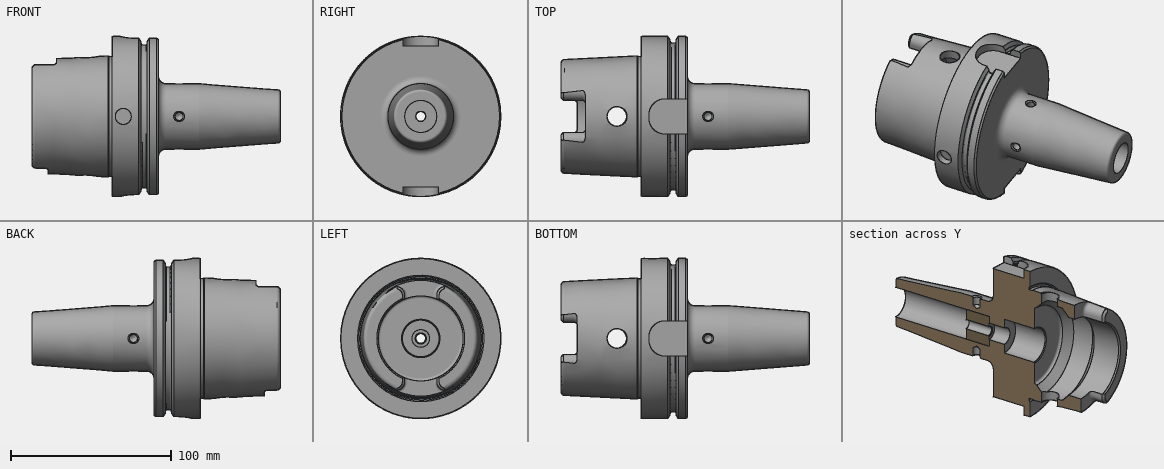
import cadquery as cq
import math


shank_length = 49.9
taper_slope = 0.05
taper_end_x = -2.4
taper_end_radius = 37.8
shank_rim_fillet = 2.4
neck_radius = 37.4
neck_chamfer = 0.6
face_recess_radius = 39.4
face_recess_depth = 0.8

flange_radius = 50.0
flange_length = 29.0
flange_back_chamfer = (0.9, 0.25)
flange_front_chamfer = (1.2, 0.9)
groove_start_x = 16.6
groove_end_x = 23.2
groove_wall_start_x = 18.2
groove_wall_end_x = 21.7
groove_wall_radius = 47.7
groove_floor_radius = 45.9
groove_rear_fillet = 0.9
groove_front_fillet = 0.5

nose_tip_x = 105.0
nose_radius = 20.5
nose_tip_radius = 16.5
nose_taper_start_x = 54.4
nose_root_fillet = 4.5
nose_tip_fillet = 1.6

bore_radius = 26.5
bore_mouth_chamfer = 0.9
clamp_edge_x = -30.0
chamber_radius = 31.5
chamber_start_x = clamp_edge_x + (chamber_radius - bore_radius)
chamber_end_x = -10.3
bore_floor_fillet = 1.7
bore_floor_x = chamber_end_x + (chamber_radius - bore_radius) + bore_floor_fillet
tube_thread_radius = 11.4
tube_thread_chamfer = 0.6
tube_thread_end_x = 20.0
coolant_radius = 5.5
screw_seat_x = 32.0
tool_bore_radius = 10.0

screw_length = 18.0
screw_hole_radius = 3.0
screw_hole_chamfer = 0.5

drive_slot_half_width = 10.0
drive_slot_lug_height = 32.3
drive_slot_lug_radius = 5.2
drive_slot_depths = {1: 15.2, -1: 10.1}
drive_slot_floor_fillet = 1.9
drive_slot_mouth_chamfer = 1.5

cross_hole_x = -15.1
cross_hole_radius = 6.0
cross_hole_chamfer = 0.4
keyway_start_x = 4.9
keyway_half_width = 11.0
keyway_floor = 44.0
keyway_corner_radius = 10.0
chip_hole_x = 7.0
chip_hole_radius = 5.0
chip_hole_depth = 4.6
balance_hole_x = 41.8
balance_hole_radius = 2.5
balance_hole_chamfer = 0.9
balance_hole_depth = 6.0
drill_point_angle = math.radians(118.0)


def taper_radius(x):
    return taper_end_radius + taper_slope * (x - taper_end_x)


def revolve_x(profile):
    """Revolve a closed profile of (X, radius) about the X axis."""
    return profile.close().revolve(360, (0, 0, 0), (1, 0, 0))


def round_corner(profile, start, corner, end):
    """Draw a line to start, then a quarter arc that rounds the square corner and stops at end."""
    bend = 1 - math.sqrt(0.5)
    middle = tuple(c + bend * (s + e - 2 * c) for s, c, e in zip(start, corner, end))
    return profile.lineTo(*start).threePointArc(middle, end)


def outer_blank():
    back_x, back_r = flange_back_chamfer
    front_x, front_r = flange_front_chamfer
    nose_slope = (nose_radius - nose_tip_radius) / (nose_tip_x - nose_taper_start_x)
    profile = (
        cq.Workplane("XY")
        .moveTo(-shank_length, 0)
        .lineTo(-shank_length, taper_radius(-shank_length))
        .lineTo(taper_end_x, taper_end_radius)
        .lineTo(taper_end_x + neck_chamfer, neck_radius)
        .lineTo(face_recess_depth, neck_radius)
        .lineTo(face_recess_depth, face_recess_radius - face_recess_depth)
        .lineTo(0, face_recess_radius)
        .lineTo(0, flange_radius - back_r)
        .lineTo(back_x, flange_radius)
        .lineTo(groove_start_x, flange_radius)
        .lineTo(groove_wall_start_x, groove_wall_radius)
    )
    profile = round_corner(
        profile,
        (groove_wall_start_x, groove_floor_radius + groove_rear_fillet),
        (groove_wall_start_x, groove_floor_radius),
        (groove_wall_start_x + groove_rear_fillet, groove_floor_radius),
    )
    profile = round_corner(
        profile,
        (groove_wall_end_x - groove_front_fillet, groove_floor_radius),
        (groove_wall_end_x, groove_floor_radius),
        (groove_wall_end_x, groove_floor_radius + groove_front_fillet),
    )
    profile = (
        profile
        .lineTo(groove_wall_end_x, groove_wall_radius)
        .lineTo(groove_end_x, flange_radius)
        .lineTo(flange_length - front_x, flange_radius)
        .lineTo(flange_length, flange_radius - front_r)
    )
    profile = round_corner(
        profile,
        (flange_length, nose_radius + nose_root_fillet),
        (flange_length, nose_radius),
        (flange_length + nose_root_fillet, nose_radius),
    )
    tip_start_radius = nose_tip_radius + nose_slope * nose_tip_fillet
    profile = round_corner(
        profile.lineTo(nose_taper_start_x, nose_radius),
        (nose_tip_x - nose_tip_fillet, tip_start_radius),
        (nose_tip_x, tip_start_radius),
        (nose_tip_x, tip_start_radius - nose_tip_fillet),
    )
    return revolve_x(profile.lineTo(nose_tip_x, 0))


def interior():
    """Stepped bore: tool-changer mouth, clamping chamber, tube thread, coolant bore and tool bore."""
    profile = (
        cq.Workplane("XY")
        .moveTo(-shank_length, 0)
        .lineTo(-shank_length, bore_radius + bore_mouth_chamfer)
        .lineTo(-shank_length + bore_mouth_chamfer, bore_radius)
        .lineTo(clamp_edge_x, bore_radius)
        .lineTo(chamber_start_x, chamber_radius)
        .lineTo(chamber_end_x, chamber_radius)
    )
    profile = round_corner(
        profile,
        (bore_floor_x - bore_floor_fillet, bore_radius),
        (bore_floor_x, bore_radius),
        (bore_floor_x, bore_radius - bore_floor_fillet),
    )
    profile = (
        profile
        .lineTo(bore_floor_x, tube_thread_radius + tube_thread_chamfer)
        .lineTo(bore_floor_x + tube_thread_chamfer, tube_thread_radius)
        .lineTo(tube_thread_end_x, tube_thread_radius)
        .lineTo(tube_thread_end_x, coolant_radius)
        .lineTo(screw_seat_x, coolant_radius)
        .lineTo(screw_seat_x, tool_bore_radius)
        .lineTo(nose_tip_x, tool_bore_radius)
        .lineTo(nose_tip_x, 0)
    )
    return revolve_x(profile)


def drive_slot_outline(growth):
    """Slot section whose straight walls roll outward over the lugs, enlarged all round by growth."""
    half = drive_slot_half_width + growth
    radius = drive_slot_lug_radius - growth
    top = drive_slot_lug_height - growth
    bend = radius * (1 - math.sqrt(0.5))
    return (
        cq.Workplane("YZ", origin=(-shank_length, 0, 0))
        .moveTo(-half, 0)
        .lineTo(-half, top - radius)
        .threePointArc((-half - bend, top - bend), (-half - radius, top))
        .lineTo(-flange_radius, top)
        .lineTo(-flange_radius, flange_radius)
        .lineTo(flange_radius, flange_radius)
        .lineTo(flange_radius, top)
        .lineTo(half + radius, top)
        .threePointArc((half + bend, top - bend), (half, top - radius))
        .lineTo(half, 0)
        .close()
    )


def drive_slot(side):
    """Cutter for one drive slot, with filleted floor corners and a chamfered mouth."""
    depth = drive_slot_depths[side]
    slot = drive_slot_outline(0).extrude(depth)
    floor_x = depth - shank_length
    reach = drive_slot_half_width + drive_slot_lug_radius
    wall_end = cq.selectors.BoxSelector(
        (floor_x - 0.1, -reach - 1, 1),
        (floor_x + 0.1, reach + 1, drive_slot_lug_height + 0.1),
    )
    slot = slot.edges(wall_end).fillet(drive_slot_floor_fillet)
    mouth = drive_slot_outline(drive_slot_mouth_chamfer).extrude(drive_slot_mouth_chamfer, taper=45)
    cutter = slot.union(mouth)
    return cutter if side > 0 else cutter.mirror("XY")


def keyway(side):
    length = flange_length - keyway_start_x
    cutter = (
        cq.Workplane("XY", origin=(keyway_start_x + length / 2, 0, keyway_floor))
        .rect(length, 2 * keyway_half_width)
        .extrude(flange_radius)
        .edges("|Z and <X")
        .fillet(keyway_corner_radius)
    )
    return cutter if side > 0 else cutter.mirror("XY")


def cross_hole():
    """Hole through both walls of the shank, with a small countersink at each mouth."""
    mouth = taper_radius(cross_hole_x)
    mouth_radius = cross_hole_radius + cross_hole_chamfer
    half_profile = (
        cq.Workplane("XZ")
        .lineTo(cross_hole_radius, 0)
        .lineTo(cross_hole_radius, mouth - cross_hole_chamfer)
        .lineTo(mouth_radius, mouth)
        .lineTo(mouth_radius, flange_radius)
        .lineTo(0, flange_radius)
        .close()
    )
    half = half_profile.revolve(360, (0, 0, 0), (0, 1, 0))
    return half.union(half.mirror("XY")).translate((cross_hole_x, 0, 0))


def chip_hole():
    return (
        cq.Workplane("XZ", origin=(chip_hole_x, -flange_radius + chip_hole_depth, 0))
        .circle(chip_hole_radius)
        .extrude(flange_radius)
    )


def balance_hole(angle):
    """Blind drilled hole with a countersunk mouth, turned about the X axis."""
    point = balance_hole_radius / math.tan(drill_point_angle / 2)
    floor = nose_radius - balance_hole_depth
    mouth_radius = balance_hole_radius + balance_hole_chamfer
    cutter = (
        cq.Workplane("XY")
        .moveTo(0, floor - point)
        .lineTo(balance_hole_radius, floor)
        .lineTo(balance_hole_radius, nose_radius - balance_hole_chamfer)
        .lineTo(mouth_radius, nose_radius)
        .lineTo(mouth_radius, nose_radius + 1)
        .lineTo(0, nose_radius + 1)
        .close()
        .revolve(360, (0, 0, 0), (0, 1, 0))
    )
    return cutter.translate((balance_hole_x, 0, 0)).rotate((0, 0, 0), (1, 0, 0), angle)


def rim_rounding():
    """Ring to remove so that the rear rim of the taper is rounded."""
    fillet_end_x = -shank_length + shank_rim_fillet
    rim_radius = taper_radius(fillet_end_x)
    centre_radius = rim_radius - shank_rim_fillet
    mid = shank_rim_fillet * math.sqrt(0.5)
    profile = (
        cq.Workplane("XY")
        .moveTo(-shank_length, centre_radius)
        .threePointArc((fillet_end_x - mid, centre_radius + mid), (fillet_end_x, rim_radius))
        .lineTo(fillet_end_x, flange_radius)
        .lineTo(-shank_length, flange_radius)
    )
    return revolve_x(profile)


def make_holder():
    holder = outer_blank()
    for side in (1, -1):
        holder = holder.cut(drive_slot(side)).cut(keyway(side))
    holder = holder.cut(rim_rounding())
    holder = holder.cut(interior()).cut(cross_hole()).cut(chip_hole())
    for angle in range(0, 360, 90):
        holder = holder.cut(balance_hole(angle))
    return holder


def make_stop_screw():
    return (
        cq.Workplane("YZ", origin=(screw_seat_x, 0, 0))
        .circle(tool_bore_radius)
        .circle(screw_hole_radius)
        .extrude(screw_length)
        .edges("<X and %CIRCLE")
        .edges(cq.selectors.RadiusNthSelector(0))
        .chamfer(screw_hole_chamfer)
    )


holder = make_holder()
stop_screw = make_stop_screw()
result = cq.Compound.makeCompound([holder.val(), stop_screw.val()])